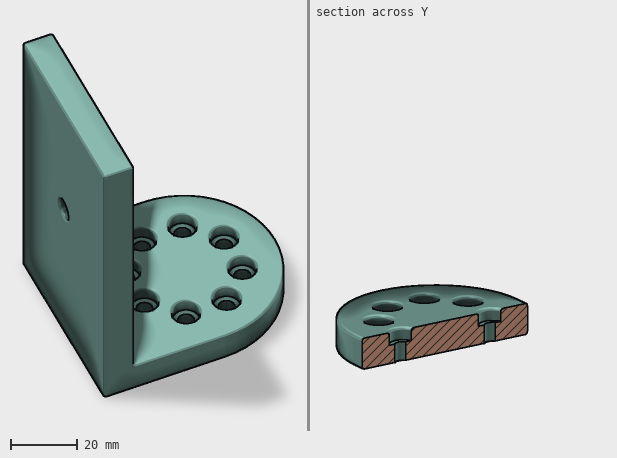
import cadquery as cq
import math

width = 60.0
depth = 70.0
height = 100.0
thickness = 10.0
edge_radius = 1.0

end_radius = width / 2
end_center_y = depth - end_radius

bolt_count = 8
bolt_circle_diameter = 35.0
bolt_hole_diameter = 5.1
counterbore_diameter = 8.6
counterbore_depth = 4

wall_hole_diameter = 6.5
wall_hole_z = (height + thickness) / 2


def make_body():
    """L-shaped bracket with a half-round base and all of its edges rounded."""
    base = (
        cq.Workplane("XY")
        .moveTo(-width / 2, 0)
        .lineTo(width / 2, 0)
        .lineTo(width / 2, end_center_y)
        .threePointArc((0, depth), (-width / 2, end_center_y))
        .close()
        .extrude(thickness)
    )
    wall = cq.Workplane("XY").box(width, thickness, height, centered=(True, False, False))
    return base.union(wall).clean().edges().fillet(edge_radius)


def bolt_positions():
    """Hole centres, spaced evenly and straddling the X and Y axes of the circle."""
    pitch = 2 * math.pi / bolt_count
    radius = bolt_circle_diameter / 2
    angles = [(i + 0.5) * pitch for i in range(bolt_count)]
    return [(radius * math.cos(a), end_center_y + radius * math.sin(a)) for a in angles]


def rounded_mouth_cutter(diameter, length):
    """Round cutter along -Z from the origin, flared by a rounded lip at its mouth."""
    radius = diameter / 2
    lip_offset = edge_radius * (1 - math.sqrt(0.5))
    return (
        cq.Workplane("XZ")
        .lineTo(radius + edge_radius, 0)
        .threePointArc((radius + lip_offset, -lip_offset), (radius, -edge_radius))
        .lineTo(radius, -length)
        .lineTo(0, -length)
        .close()
        .revolve(360, (0, 0), (0, 1))
    )


def cut_bolt_holes(body):
    counterbore = rounded_mouth_cutter(counterbore_diameter, counterbore_depth)
    through = cq.Workplane("XY").circle(bolt_hole_diameter / 2).extrude(-thickness)
    cutter = counterbore.union(through)
    for x, y in bolt_positions():
        body = body.cut(cutter.translate((x, y, thickness)))
    return body


def cut_wall_hole(body):
    cutter = rounded_mouth_cutter(wall_hole_diameter, thickness).rotate((0, 0, 0), (1, 0, 0), 90)
    return body.cut(cutter.translate((0, 0, wall_hole_z)))


result = cut_wall_hole(cut_bolt_holes(make_body()))